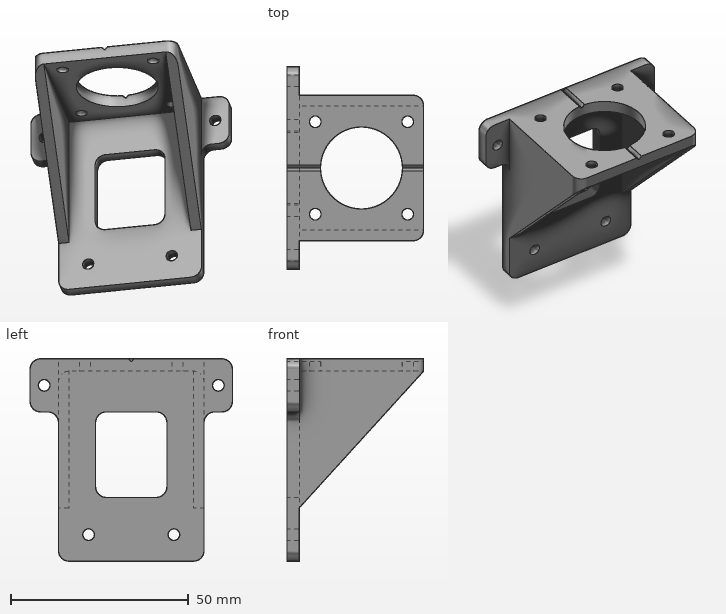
import cadquery as cq

depth = 38.5
height = 57.0
body_width = 41.0
ear_span = 57.0
ear_height = 15.0
plate_thickness = 3.5
wall_thickness = 3.0
corner_radius = 3.0

screw_diameter = 3.2
bore_diameter = 23.0
motor_center_x = plate_thickness + (depth - plate_thickness) / 2
motor_screw_pitch = 26.0
groove_side = 1.2
groove_bar_turn = 45.0
groove_end_skin = 0.01

ear_hole_pitch = 49.0
lower_hole_pitch = 24.0
hole_edge_distance = 7.5
window_width = 20.0
window_height = 24.0
window_top = -ear_height

wall_bottom = -42.0
wall_front_height = plate_thickness


def box_between(x_range, y_range, z_range):
    """Axis-aligned box given by its limits along X, Y and Z."""
    size = [high - low for low, high in (x_range, y_range, z_range)]
    corner = (x_range[0], y_range[0], z_range[0])
    return cq.Workplane("XY").box(*size, centered=False).translate(corner)


def make_back_plate():
    """T-shaped upright plate with rounded outer and inner corners."""
    thickness = (0, plate_thickness)
    ears = box_between(thickness, (-ear_span / 2, ear_span / 2), (-ear_height, 0))
    body = box_between(thickness, (-body_width / 2, body_width / 2), (-height, 0))
    return ears.union(body).edges("|X").fillet(corner_radius)


def make_shelf():
    """Horizontal motor plate and its two triangular side walls."""
    profile = [
        (0, 0),
        (depth, 0),
        (depth, -wall_front_height),
        (plate_thickness, wall_bottom),
        (0, wall_bottom),
    ]
    wedge = cq.Workplane("XZ").polyline(profile).close().extrude(body_width / 2, both=True)
    wedge = wedge.edges("|Z and >X").fillet(corner_radius)
    inner_y = body_width / 2 - wall_thickness
    cavity = box_between((plate_thickness, depth), (-inner_y, inner_y), (-height, -plate_thickness))
    return wedge.cut(cavity)


def cut_back_plate_openings(part):
    """Rounded window and four screw holes through the back plate."""
    window = box_between(
        (0, plate_thickness),
        (-window_width / 2, window_width / 2),
        (window_top - window_height, window_top),
    )
    window = window.edges("|X").fillet(corner_radius)
    hole_rows = [
        (ear_hole_pitch, -hole_edge_distance),
        (lower_hole_pitch, -height + hole_edge_distance),
    ]
    points = [(side * pitch / 2, z) for pitch, z in hole_rows for side in (-1, 1)]
    holes = cq.Workplane("YZ").pushPoints(points).circle(screw_diameter / 2).extrude(plate_thickness)
    return part.cut(window).cut(holes)


def cut_motor_plate_openings(part):
    """Central bore and a square pattern of screw holes through the motor plate."""
    center = cq.Workplane("XY").center(motor_center_x, 0)
    bore = center.circle(bore_diameter / 2).extrude(-plate_thickness)
    holes = (
        center.rect(motor_screw_pitch, motor_screw_pitch, forConstruction=True)
        .vertices()
        .circle(screw_diameter / 2)
        .extrude(-plate_thickness)
    )
    return part.cut(bore).cut(holes)


def cut_center_groove(part):
    """V-groove along X in the top face: the lower half of a square bar turned on its corner."""
    half_range = (-groove_side / 2, groove_side / 2)
    bar = box_between((groove_end_skin, depth), half_range, half_range)
    return part.cut(bar.rotate((0, 0, 0), (1, 0, 0), groove_bar_turn))


result = make_back_plate().union(make_shelf())
result = cut_back_plate_openings(result)
result = cut_motor_plate_openings(result)
result = cut_center_groove(result)